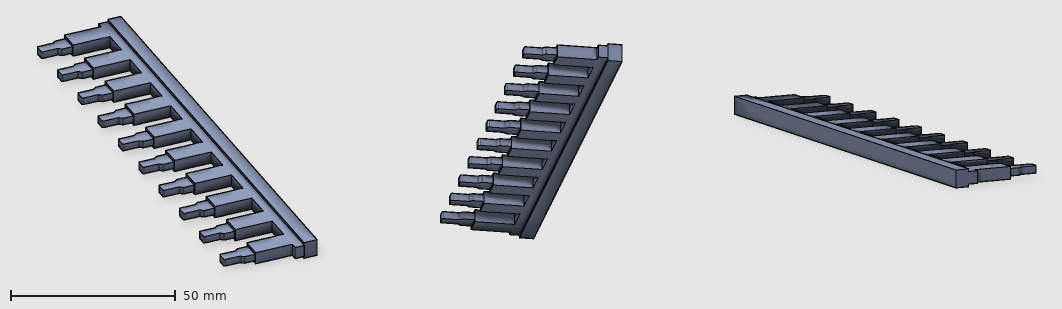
import cadquery as cq

total_length = 145.5
total_depth = 29.5
rail_height = 5.5

rail_length = 145.2
rail_depth = 4.4
web_front = 7.4
web_height = 4.0

leg_count = 10
leg_span = 135.0
leg_pitch = leg_span / (leg_count - 1)
leg_width = 6.5
first_leg_center = 5.1
leg_end = 19.6

blade_height = 2.3
blade_offset = 0.22
blade_width = 5.2
shoulder_start = 23.1
shoulder_end = 24.2
tip_width = 3.5
blade_corner_radius = 0.5


def block(length, back, front, height, x_start=0.0):
    """Box centred on Z = 0, spanning two distances from the back face."""
    return (
        cq.Workplane("XY")
        .box(length, front - back, height, centered=(False, False, True))
        .translate((x_start, -front, 0))
    )


def leg(center):
    """Rectangular leg running forward from the rail."""
    return block(leg_width, rail_depth, leg_end, web_height, center - leg_width / 2)


def blade(center):
    """Flat blade with sloping shoulders and rounded corners; its root is buried in the leg."""
    half_blade = blade_width / 2
    half_tip = tip_width / 2
    right_side = [
        (half_blade, -rail_depth),
        (half_blade, -shoulder_start),
        (half_tip, -shoulder_end),
        (half_tip, -total_depth),
    ]
    left_side = [(-x, y) for x, y in reversed(right_side)]
    return (
        cq.Workplane("XY")
        .polyline(right_side + left_side)
        .close()
        .extrude(blade_height / 2, both=True)
        .edges("|Z")
        .fillet(blade_corner_radius)
        .translate((center + blade_offset, 0, 0))
    )


rail = block(rail_length, 0, rail_depth, rail_height)
web = block(total_length, rail_depth, web_front, web_height)

result = rail.union(web)
for index in range(leg_count):
    leg_center = first_leg_center + index * leg_pitch
    result = result.union(leg(leg_center)).union(blade(leg_center))